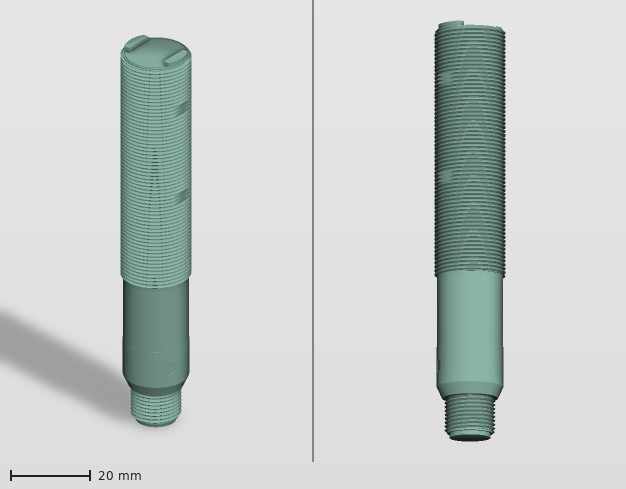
import cadquery as cq
import math

total_height = 104.94
tab_height = 1.2
housing_top = total_height - tab_height

barrel_major_radius = 17.88 / 2
barrel_root_radius = 8.33
barrel_pitch = 1.0
rim_height = 0.35
barrel_thread_end = housing_top - rim_height
barrel_bottom = 40.8
barrel_thread_start = 41.2
barrel_crest_angle = 180.0
barrel_crest_width = 0.14
barrel_root_width = 0.14

body_radius = 8.3
rear_body_top = 23.07
rear_body_radius = 8.36
cone_top = 12.95
cone_bottom = 10.1
cone_bottom_radius = 7.05

plug_major_radius = 6.35
plug_root_radius = 5.75
plug_pitch = 1.0
plug_bottom = 1.1
plug_thread_start = 1.5
plug_thread_end = 9.8
plug_crest_angle = 180.0
plug_crest_width = 0.0
plug_root_width = 0.2
plug_tip_radius = 5.15

flat_offset = barrel_root_radius
flat_height = 3.0
flat_levels = (65.7, 90.7)

tab_inner_x = 5.6
tab_outer_radius = 8.1
tab_width = 7.8

lens_radius = 7.75
lens_gap = 0.25
lens_groove_depth = 0.3

window_diameter = 3.2
window_level = 18.0
window_angle = -26.0
window_depth = 0.3

dimple_diameter = 1.0
dimple_level = 12.0
dimple_depth = 0.3


def make_cylinder(radius, bottom, top):
    return cq.Workplane("XY").workplane(offset=bottom).circle(radius).extrude(top - bottom)


def make_threaded_rod(root_radius, crest_radius, crest_width, root_width, pitch, bottom, top, crest_angle):
    """Right-handed threaded rod with flat ends at the bottom and top levels.

    One turn of the thread is a set of helical strips: the flanks, the root and, unless
    its width is zero, the crest. Copies of that turn are stacked into a longer rod that
    ends in helicoids, and the rod is then trimmed flat. The crest crosses the bottom
    level at crest_angle.
    """
    flank_width = (pitch - crest_width - root_width) / 2
    turns = math.ceil((top - bottom) / pitch) + 2
    profile = [(root_radius, 0), (crest_radius, flank_width)]
    if crest_width > 0:
        profile.append((crest_radius, flank_width + crest_width))
    profile += [(root_radius, pitch - root_width), (root_radius, pitch)]

    def helix(radius, level):
        return cq.Wire.makeHelix(pitch, pitch, radius).Edges()[0].translate(cq.Vector(0, 0, level))

    helices = [helix(radius, level) for radius, level in profile]
    strips = [cq.Face.makeRuledSurface(low, high) for low, high in zip(helices, helices[1:])]
    axis = cq.Edge.makeLine(cq.Vector(0, 0, 0), cq.Vector(0, 0, pitch))
    half_section = cq.Workplane("XZ").polyline([(0, 0)] + profile + [(0, pitch)]).close().val()
    end_faces = [cq.Face.makeRuledSurface(axis, helices[0]), cq.Face.makeFromWires(half_section)]

    skin = []
    for turn in range(turns):
        skin += [strip.translate(cq.Vector(0, 0, turn * pitch)) for strip in strips]
    for end_level in (0, turns * pitch):
        skin += [face.translate(cq.Vector(0, 0, end_level)) for face in end_faces]
    long_rod = cq.Workplane(obj=cq.Solid.makeSolid(cq.Shell.makeShell(skin)))
    crest_centre = flank_width + crest_width / 2
    placed_rod = (
        long_rod
        .rotate((0, 0, 0), (0, 0, 1), crest_angle)
        .translate((0, 0, bottom - pitch - crest_centre))
    )
    return placed_rod.intersect(make_cylinder(2 * crest_radius, bottom, top))


def make_body():
    """Revolved plain body from the plug thread up to the barrel thread."""
    return (
        cq.Workplane("XZ")
        .moveTo(0, plug_thread_end)
        .lineTo(plug_root_radius, plug_thread_end)
        .lineTo(plug_root_radius, cone_bottom)
        .lineTo(cone_bottom_radius, cone_bottom)
        .lineTo(rear_body_radius, cone_top)
        .lineTo(rear_body_radius, rear_body_top)
        .lineTo(body_radius, rear_body_top)
        .lineTo(body_radius, barrel_bottom)
        .lineTo(barrel_root_radius, barrel_bottom)
        .lineTo(barrel_root_radius, barrel_thread_start)
        .lineTo(0, barrel_thread_start)
        .close()
        .revolve(360, (0, 0, 0), (0, 1, 0))
    )


def make_barrel_flats():
    """Blocks that shave the barrel thread down to flats on both X sides."""
    block_depth = 2 * (barrel_major_radius - flat_offset)
    block_centres = [
        (side * (flat_offset + block_depth / 2), 0, level)
        for side in (-1, 1)
        for level in flat_levels
    ]
    return (
        cq.Workplane("XY")
        .pushPoints(block_centres)
        .box(block_depth, 2 * barrel_major_radius, flat_height)
    )


def make_side_blocks(inner_x, width, bottom, top):
    """Two rectangular blocks from inner_x outward on both X sides, beyond the barrel."""
    length = barrel_major_radius
    centre_x = inner_x + length / 2
    return (
        cq.Workplane("XY")
        .workplane(offset=bottom)
        .pushPoints([(-centre_x, 0), (centre_x, 0)])
        .rect(length, width)
        .extrude(top - bottom)
    )


def make_tabs():
    """Two upright tabs on the sensing face, rounded on the outside."""
    tab_disc = make_cylinder(tab_outer_radius, housing_top, total_height)
    return tab_disc.intersect(make_side_blocks(tab_inner_x, tab_width, housing_top, total_height))


def make_lens_groove():
    """Ring between lens and housing that turns inward around each tab."""
    floor = housing_top - lens_groove_depth
    lens_slots = make_side_blocks(tab_inner_x - lens_gap, tab_width + 2 * lens_gap, floor, housing_top)
    lens = make_cylinder(lens_radius, floor, housing_top).cut(lens_slots)
    tab_feet = make_side_blocks(tab_inner_x, tab_width, floor, housing_top)
    recess = make_cylinder(lens_radius + lens_gap, floor, housing_top).cut(tab_feet)
    return recess.cut(lens)


def make_window_recess():
    """Radial cylinder that sinks the indicator window into the rear body."""
    return (
        cq.Workplane("YZ")
        .workplane(offset=rear_body_radius - window_depth)
        .center(0, window_level)
        .circle(window_diameter / 2)
        .extrude(2 * window_depth)
        .rotate((0, 0, 0), (0, 0, 1), window_angle)
    )


def make_cone_dimple():
    """Small horizontal cylinder that sinks the dimple into the -X side of the cone."""
    cone_slope = (rear_body_radius - cone_bottom_radius) / (cone_top - cone_bottom)
    cone_radius = cone_bottom_radius + cone_slope * (dimple_level - cone_bottom)
    return (
        cq.Workplane("YZ")
        .workplane(offset=-cone_radius - dimple_diameter)
        .center(0, dimple_level)
        .circle(dimple_diameter / 2)
        .extrude(dimple_diameter + dimple_depth)
    )


plug_thread = make_threaded_rod(
    plug_root_radius,
    plug_major_radius,
    plug_crest_width,
    plug_root_width,
    plug_pitch,
    plug_thread_start,
    plug_thread_end,
    plug_crest_angle,
)
barrel_thread = make_threaded_rod(
    barrel_root_radius,
    barrel_major_radius,
    barrel_crest_width,
    barrel_root_width,
    barrel_pitch,
    barrel_thread_start,
    barrel_thread_end,
    barrel_crest_angle,
)
tip = make_cylinder(plug_tip_radius, 0, plug_bottom)
shoulder = make_cylinder(plug_root_radius, plug_bottom, plug_thread_start)
body = make_body().cut(make_window_recess()).cut(make_cone_dimple())
rim = make_cylinder(barrel_root_radius, barrel_thread_end, housing_top)
barrel = barrel_thread.cut(make_barrel_flats())
front = rim.union(make_tabs()).cut(make_lens_groove())
result = tip.union(shoulder).union(plug_thread).union(body).union(barrel).union(front)